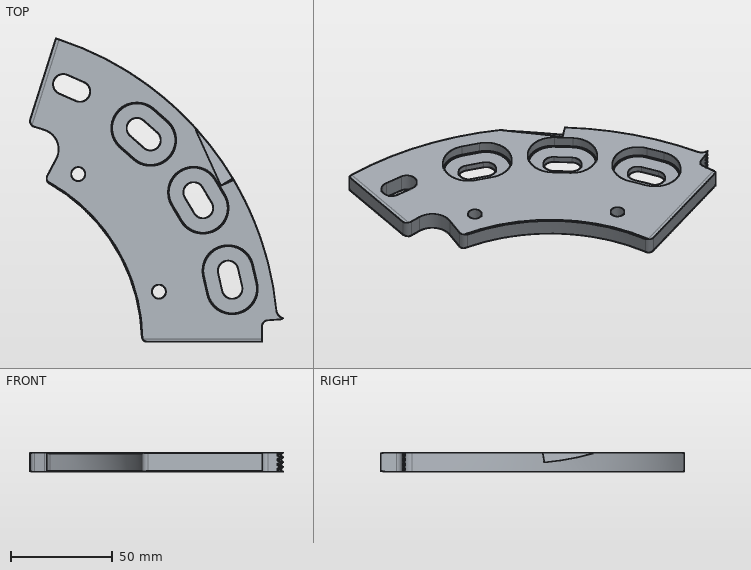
import math

import cadquery as cq

THICKNESS = 9.51
INNER_RADIUS = 90.0
OUTER_RADIUS = 157.4
SECTOR_ANGLE = 72.41
CORNER_RADIUS = 3.0

SCALLOP_RADIUS = 10.0
TAB_RADIUS = 112.5
SCALLOP_WALL_ANGLE = 62.2

STEP_X = 149.5
STEP_WALL_ANGLE = 4.0
STEP_FILLET = CORNER_RADIUS

END_BEVEL_WIDTH = 1.6
END_BEVEL_HEIGHT = 0.4
BORE_CHAMFER = 0.5

SLOT_CIRCLE_RADIUS = 137.2
FIRST_SLOT_ANGLE = 12.95
SLOT_PITCH_ANGLE = 17.75
SLOT_COUNT = 4
COUNTERBORED_SLOTS = 3
SLOT_WIDTH = 10.0
SLOT_STRAIGHT = 9.0
COUNTERBORE_WIDTH = 25.4
COUNTERBORE_DEPTH = 6.0
COUNTERBORE_CHAMFER = 0.5
HOLE_CIRCLE_RADIUS = 101.6
HOLE_DIAMETER = 6.8
HOLE_ANGLES = (14.15, 54.75)

NOTCH_CORNER = (129.2, 77.2)
NOTCH_LINE_ANGLE = 114.4
NOTCH_SLOPE = 35.7
NOTCH_WALL_LEAN = 11.0
NOTCH_REACH = 60.0

HOOK_TIP = (159.88, 11.7)
HOOK_HEEL_RADIUS = 159.1
HOOK_TOP_ANGLE = 5.6
HOOK_CURVE_MIDDLE = (157.85, 12.95)
TOOTH_COUNT = 4
GROOVE_ROOT_RADIUS = 156.7
GROOVE_REACH = 20.0

OVERCUT = 1.0


def polar(radius, angle):
    """The XY point at a radius and an angle in degrees."""
    a = math.radians(angle)
    return (radius * math.cos(a), radius * math.sin(a))


def sector_plate():
    tab_corner = polar(TAB_RADIUS, SECTOR_ANGLE)
    wall_from_end = math.radians(SECTOR_ANGLE - SCALLOP_WALL_ANGLE)
    scallop_corner = polar(TAB_RADIUS / math.cos(wall_from_end), SCALLOP_WALL_ANGLE)
    wall_corner = polar(INNER_RADIUS, SCALLOP_WALL_ANGLE)
    lower_corner = (INNER_RADIUS, 0)
    step_corner = (STEP_X, STEP_X * math.tan(math.radians(STEP_WALL_ANGLE)))

    plate = (
        cq.Workplane("XY")
        .moveTo(*lower_corner)
        .lineTo(STEP_X, 0)
        .lineTo(*step_corner)
        .lineTo(*polar(OUTER_RADIUS, STEP_WALL_ANGLE))
        .threePointArc(polar(OUTER_RADIUS, SECTOR_ANGLE / 2), polar(OUTER_RADIUS, SECTOR_ANGLE))
        .lineTo(*tab_corner)
        .lineTo(*scallop_corner)
        .lineTo(*wall_corner)
        .threePointArc(polar(INNER_RADIUS, SCALLOP_WALL_ANGLE / 2), lower_corner)
        .close()
        .extrude(THICKNESS)
    )
    corner_radii = (
        (lower_corner, CORNER_RADIUS),
        (wall_corner, CORNER_RADIUS),
        (tab_corner, CORNER_RADIUS),
        (scallop_corner, SCALLOP_RADIUS),
        (step_corner, STEP_FILLET),
    )
    for (x, y), radius in corner_radii:
        corner = cq.selectors.NearestToPointSelector((x, y, THICKNESS / 2))
        plate = plate.edges(corner).fillet(radius)
    return plate


def end_bevel(angle, inward_sign):
    """Shallow wedge along the top edge of the sector end at the given angle."""
    profile = [
        (-OVERCUT, THICKNESS - END_BEVEL_HEIGHT * (1 + OVERCUT / END_BEVEL_WIDTH)),
        (END_BEVEL_WIDTH, THICKNESS),
        (END_BEVEL_WIDTH, THICKNESS + OVERCUT),
        (-OVERCUT, THICKNESS + OVERCUT),
    ]
    points = [(inward_sign * across, height) for across, height in profile]
    wedge = cq.Workplane("YZ").polyline(points).close().extrude(OUTER_RADIUS + OVERCUT)
    return wedge.rotate((0, 0, 0), (0, 0, 1), angle)


def bore_chamfer():
    """Cone that breaks the top edge of the inner arc."""
    height = BORE_CHAMFER + OVERCUT
    cone = cq.Solid.makeCone(INNER_RADIUS - OVERCUT, INNER_RADIUS + BORE_CHAMFER, height)
    return cq.Workplane(cone).translate((0, 0, THICKNESS - height))


def slot(index, width, bottom, top):
    angle = FIRST_SLOT_ANGLE + index * SLOT_PITCH_ANGLE
    return (
        cq.Workplane("XY", origin=(0, 0, bottom))
        .center(*polar(SLOT_CIRCLE_RADIUS, angle))
        .slot2D(SLOT_STRAIGHT + width, width, angle + 90)
        .extrude(top - bottom)
    )


def counterbore(index):
    pocket = slot(index, COUNTERBORE_WIDTH, THICKNESS - COUNTERBORE_DEPTH, THICKNESS)
    return pocket.faces("<Z").edges().chamfer(COUNTERBORE_CHAMFER)


def notch():
    """Ramp that falls outward from a line on the top face and stops at a leaning wall."""
    line = polar(1, NOTCH_LINE_ANGLE)
    outward = polar(1, NOTCH_LINE_ANGLE - 90)
    corner = (*NOTCH_CORNER, THICKNESS)
    slope = math.radians(NOTCH_SLOPE)
    lean = math.radians(NOTCH_WALL_LEAN)
    ramp_normal = (outward[0] * math.sin(slope), outward[1] * math.sin(slope), math.cos(slope))
    wall_normal = (line[0] * math.cos(lean), line[1] * math.cos(lean), math.sin(lean))
    above_ramp = (
        cq.Workplane(cq.Plane(corner, (*line, 0), ramp_normal))
        .rect(NOTCH_REACH, NOTCH_REACH)
        .extrude(NOTCH_REACH)
    )
    before_wall = (
        cq.Workplane(cq.Plane(corner, (*outward, 0), wall_normal))
        .rect(NOTCH_REACH, NOTCH_REACH)
        .extrude(NOTCH_REACH)
    )
    return above_ramp.intersect(before_wall)


def serrated_hook():
    """Curved spur on the rim, cut into pointed teeth by slanting V grooves."""
    heel = polar(HOOK_HEEL_RADIUS, STEP_WALL_ANGLE)
    hook = (
        cq.Workplane("XY")
        .moveTo(*polar(OUTER_RADIUS - OVERCUT, STEP_WALL_ANGLE))
        .lineTo(*heel)
        .lineTo(*HOOK_TIP)
        .threePointArc(HOOK_CURVE_MIDDLE, polar(OUTER_RADIUS, HOOK_TOP_ANGLE))
        .lineTo(*polar(OUTER_RADIUS - OVERCUT, HOOK_TOP_ANGLE))
        .close()
        .extrude(THICKNESS)
    )
    pitch = THICKNESS / TOOTH_COUNT
    root = polar(GROOVE_ROOT_RADIUS, STEP_WALL_ANGLE)
    cutting_edge = cq.Vector(*HOOK_TIP) - cq.Vector(*heel)
    sweep = cutting_edge.normalized() * GROOVE_REACH
    for tooth in range(TOOTH_COUNT):
        z = tooth * pitch
        triangle = cq.Wire.makePolygon(
            [
                cq.Vector(*root, z + pitch / 2),
                cq.Vector(*heel, z),
                cq.Vector(*heel, z + pitch),
            ],
            close=True,
        ).translate(sweep * -0.5)
        hook = hook.cut(cq.Workplane(cq.Solid.extrudeLinear(triangle, [], sweep)))
    return hook


def mirrored(body):
    """The same body reflected in the middle plane of the plate."""
    return body.mirror("XY", (0, 0, THICKNESS / 2))


def round_hole(angle):
    return (
        cq.Workplane("XY")
        .center(*polar(HOLE_CIRCLE_RADIUS, angle))
        .circle(HOLE_DIAMETER / 2)
        .extrude(THICKNESS)
    )


result = sector_plate()
for edge_cut in (end_bevel(0, 1), end_bevel(SECTOR_ANGLE, -1), bore_chamfer()):
    result = result.cut(edge_cut).cut(mirrored(edge_cut))
for slot_index in range(SLOT_COUNT):
    result = result.cut(slot(slot_index, SLOT_WIDTH, 0, THICKNESS))
for slot_index in range(COUNTERBORED_SLOTS):
    result = result.cut(counterbore(slot_index))
for hole_angle in HOLE_ANGLES:
    result = result.cut(round_hole(hole_angle))
result = result.cut(notch()).union(serrated_hook())